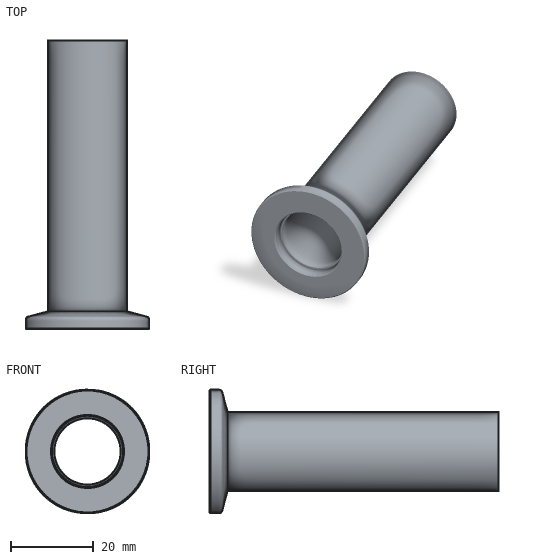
import cadquery as cq
import math

length = 70.0
flange_diameter = 30.0
tube_diameter = 19.2
bore_diameter = 15.95
recess_diameter = 17.2
recess_depth = 2.8
recess_edge_chamfer = 0.3

cone_angle = 15.0
cone_end = 4.4
shoulder_radius = 1.0
face_edge_chamfer = 0.3

flange_radius = flange_diameter / 2
tube_radius = tube_diameter / 2
bore_radius = bore_diameter / 2
recess_radius = recess_diameter / 2
cone_start = cone_end - (flange_radius - tube_radius) * math.tan(math.radians(cone_angle))

front = -length / 2


def make_body():
    """Revolve the outer half profile of the flange and tube about Y."""
    profile = (
        cq.Workplane("XY")
        .moveTo(0, front)
        .lineTo(flange_radius, front)
        .lineTo(flange_radius, front + cone_start)
        .lineTo(tube_radius, front + cone_end)
        .lineTo(tube_radius, front + length)
        .lineTo(0, front + length)
        .close()
    )
    body = profile.revolve(360, (0, 0, 0), (0, 1, 0))
    widest_edges = cq.selectors.RadiusNthSelector(-1)
    body = body.faces("<Y").edges().chamfer(face_edge_chamfer)
    return body.edges(widest_edges).edges(">Y").fillet(shoulder_radius)


def cylinder_from_front(radius, depth):
    """Cylinder reaching from the sealing face into the part."""
    return cq.Workplane("XZ", origin=(0, front, 0)).circle(radius).extrude(-depth)


bore = cylinder_from_front(bore_radius, length)
recess = cylinder_from_front(recess_radius, recess_depth)
result = make_body().cut(bore).cut(recess)
result = result.faces("<Y").edges(cq.selectors.RadiusNthSelector(0)).chamfer(recess_edge_chamfer)